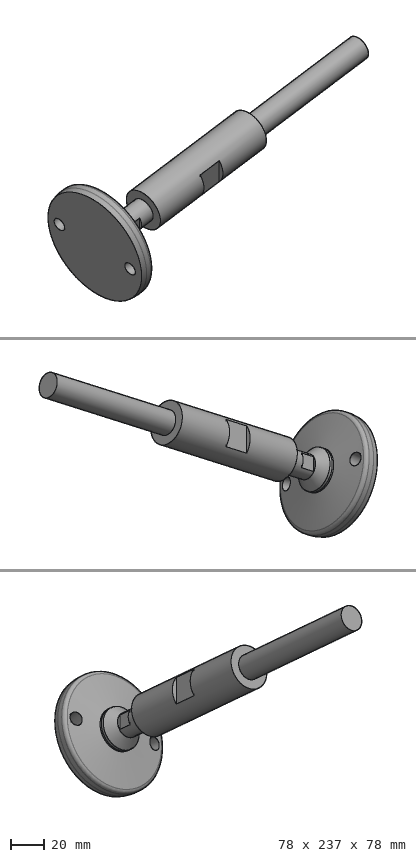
import cadquery as cq
import math

plate_diameter = 78.0
plate_face_diameter = 76.8
rim_taper_height = 3.8
rim_height = 9.7
rim_round_radius = 2.5
seat_diameter = 28.0
cone_height = 13.5
seat_height = 14.7

hole_diameter = 8.5
hole_offset = 29.0
cone_angle = math.degrees(
    math.atan2(cone_height - rim_height, (plate_diameter - seat_diameter) / 2)
)
hole_cut_length = 4 * seat_height

rod_diameter = 16.0
sleeve_diameter = 28.0
flare_start = 16.5
flare_end = 23.0
sleeve_start = 43.5
sleeve_end = 139.0
overall_length = 237.0

neck_flat_start = 23.2
neck_flat_length = 10.0
neck_flat_width = 13.0
sleeve_flat_length = 17.0
sleeve_flat_width = 21.8
sleeve_flat_start = (sleeve_start + sleeve_end - sleeve_flat_length) / 2

plate_bottom_y = 0.0
edge_search_margin = 0.2


def revolve_about_y(profile):
    return profile.close().revolve(360, (0, 0, 0), (0, 1, 0))


def make_plate():
    rim_radius = plate_diameter / 2
    profile = (
        cq.Workplane("XY")
        .moveTo(0, plate_bottom_y)
        .lineTo(plate_face_diameter / 2, plate_bottom_y)
        .lineTo(rim_radius, rim_taper_height)
        .lineTo(rim_radius, rim_height)
        .lineTo(seat_diameter / 2, cone_height)
        .lineTo(seat_diameter / 2, seat_height)
        .lineTo(0, seat_height)
    )
    plate = revolve_about_y(profile)
    rim_edge = cq.selectors.BoxSelector(
        (-plate_diameter, rim_height - edge_search_margin, -plate_diameter),
        (plate_diameter, rim_height + edge_search_margin, plate_diameter),
    )
    plate = plate.edges("%CIRCLE").edges(rim_edge).fillet(rim_round_radius)
    for side in (-1, 1):
        plate = plate.cut(make_hole_cutter(side))
    return plate


def make_hole_cutter(side):
    """Cylinder through the plate that leans outward toward the conical back."""
    lean = math.radians(cone_angle)
    axis = cq.Vector(side * math.sin(lean), math.cos(lean), 0)
    mouth = cq.Vector(side * hole_offset, plate_bottom_y, 0)
    start = mouth - axis * (hole_cut_length / 2)
    return cq.Workplane(cq.Solid.makeCylinder(hole_diameter / 2, hole_cut_length, start, axis))


def cut_flats(body, start, length, width):
    """Cut two parallel flats, the given width apart, over a stretch of the Y axis."""
    for side in (-1, 1):
        cutter = cq.Workplane("XY").box(sleeve_diameter, length, 2 * sleeve_diameter)
        center_x = side * (width + sleeve_diameter) / 2
        body = body.cut(cutter.translate((center_x, start + length / 2, 0)))
    return body


def make_spindle():
    rod_radius = rod_diameter / 2
    sleeve_radius = sleeve_diameter / 2
    profile = (
        cq.Workplane("XY")
        .moveTo(0, seat_height)
        .lineTo(seat_diameter / 2, seat_height)
        .lineTo(seat_diameter / 2, flare_start)
        .lineTo(rod_radius, flare_end)
        .lineTo(rod_radius, sleeve_start)
        .lineTo(sleeve_radius, sleeve_start)
        .lineTo(sleeve_radius, sleeve_end)
        .lineTo(rod_radius, sleeve_end)
        .lineTo(rod_radius, overall_length)
        .lineTo(0, overall_length)
    )
    spindle = revolve_about_y(profile)
    spindle = cut_flats(spindle, neck_flat_start, neck_flat_length, neck_flat_width)
    return cut_flats(spindle, sleeve_flat_start, sleeve_flat_length, sleeve_flat_width)


plate = make_plate()
spindle = make_spindle()
result = cq.Compound.makeCompound([plate.val(), spindle.val()])